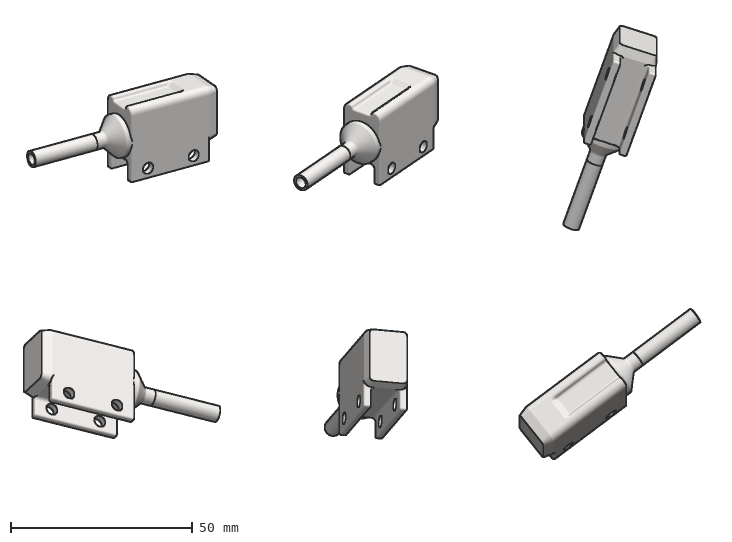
import cadquery as cq
import math


OVERALL_LENGTH = 57.2

WIDTH = 12.5
HEIGHT = 22.6
BLOCK_LENGTH = 25.75
TOP_RADIUS = 2.05
EDGE_RADIUS = 0.6

LEG_THICKNESS = 2.2
SLOT_WIDTH = WIDTH - 2 * LEG_THICKNESS
SLOT_HEIGHT = 5.85
SLOT_RADIUS = 1.05

NOSE_LENGTH = 2.85
NOSE_INSET = 0.85
NOSE_HEIGHT = HEIGHT - SLOT_HEIGHT
NOSE_TAPER = math.degrees(math.atan(NOSE_INSET / NOSE_LENGTH))

HOLE_DIAMETER = 3.3
HOLE_HEIGHT = 3.2
HOLE_POSITIONS = (5.55, 20.5)

RECESS_DEPTH = 1.2
RECESS_FLOOR_WIDTH = 5.85
RECESS_FLOOR_END = 17.55
RECESS_SIDE_ANGLE = 68.0
RECESS_END_ANGLE = 34.0
RECESS_BLEND_RADIUS = 0.85

BOOT_HEIGHT = 12.25
COLLAR_RADIUS = WIDTH / 2
COLLAR_LENGTH = 1.5
COLLAR_BLEND_RADIUS = 0.4
NECK_RADIUS = 2.35
NECK_START = 5.4
NECK_END = 8.45
NECK_BLEND_RADIUS = 0.6
WIRE_HOLE_DIAMETER = 2.6

CABLE_RADIUS = NECK_RADIUS
CABLE_BORE_DIAMETER = 3.25
CABLE_END = OVERALL_LENGTH - BLOCK_LENGTH - NOSE_LENGTH


def plane_at(y, z=0.0):
    """Plane across the part at the given Y; its normal points forward, +Y."""
    return cq.Plane(origin=(0, y, z), xDir=(-1, 0, 0), normal=(0, 1, 0))


def make_block():
    """Block with rounded top edges and a slot that leaves a leg on each side."""
    block = (
        cq.Workplane(plane_at(0, HEIGHT / 2))
        .rect(WIDTH, HEIGHT)
        .extrude(BLOCK_LENGTH)
        .edges("|Y and >Z")
        .fillet(TOP_RADIUS)
    )
    slot = (
        cq.Workplane(plane_at(0, SLOT_HEIGHT / 2))
        .rect(SLOT_WIDTH, SLOT_HEIGHT)
        .extrude(BLOCK_LENGTH)
        .edges("|Y and >Z")
        .fillet(SLOT_RADIUS)
    )
    return block.cut(slot)


def make_recess():
    """Volume of the top recess: steep sides and a gentle ramp at its front, blended into the floor."""
    floor_z = HEIGHT - RECESS_DEPTH
    floor_x = RECESS_FLOOR_WIDTH / 2
    top_x = floor_x + RECESS_DEPTH / math.tan(math.radians(RECESS_SIDE_ANGLE))
    top_end = RECESS_FLOOR_END + RECESS_DEPTH / math.tan(math.radians(RECESS_END_ANGLE))
    channel = (
        cq.Workplane(plane_at(0))
        .polyline([(-floor_x, floor_z), (floor_x, floor_z), (top_x, HEIGHT), (-top_x, HEIGHT)])
        .close()
        .extrude(top_end)
    )
    ramped_length = (
        cq.Workplane("YZ")
        .polyline([(0, floor_z), (RECESS_FLOOR_END, floor_z), (top_end, HEIGHT), (0, HEIGHT)])
        .close()
        .extrude(top_x, both=True)
    )
    recess = channel.intersect(ramped_length)
    return recess.edges("not(<Y or >Z)").fillet(RECESS_BLEND_RADIUS)


def cut_recess(block):
    """Cut the top recess and round its rim."""
    in_top_face = cq.selectors.BoxSelector(
        (-WIDTH / 2 + TOP_RADIUS, -EDGE_RADIUS, HEIGHT - EDGE_RADIUS),
        (WIDTH / 2 - TOP_RADIUS, BLOCK_LENGTH - EDGE_RADIUS, HEIGHT + EDGE_RADIUS),
    )
    rim = block.cut(make_recess()).faces(">Z").edges(in_top_face).edges("not(<Y)")
    return rim.fillet(RECESS_BLEND_RADIUS)


def make_nose():
    """Tapered front end; its straight root reaches back past the rounded front edges of the block."""
    outline = (
        cq.Sketch()
        .rect(WIDTH, NOSE_HEIGHT)
        .vertices()
        .fillet(TOP_RADIUS)
    )
    middle = SLOT_HEIGHT + NOSE_HEIGHT / 2
    base = cq.Workplane(plane_at(BLOCK_LENGTH, middle)).placeSketch(outline)
    root = base.extrude(-EDGE_RADIUS)
    tip = base.extrude(NOSE_LENGTH, taper=NOSE_TAPER)
    return root.union(tip)


def edges_near(y):
    """Selector for edges whose centre lies within one edge radius of the given Y."""
    return cq.selectors.BoxSelector((-WIDTH, y - EDGE_RADIUS, 0), (WIDTH, y + EDGE_RADIUS, HEIGHT))


def make_boot():
    """Collar, cone and neck as one turned shape, rooted inside the back edge rounding of the block."""
    profile = [
        (EDGE_RADIUS, 0),
        (EDGE_RADIUS, COLLAR_RADIUS),
        (-COLLAR_LENGTH, COLLAR_RADIUS),
        (-NECK_START, NECK_RADIUS),
        (-NECK_END, NECK_RADIUS),
        (-NECK_END, 0),
    ]
    boot = (
        cq.Workplane("YZ")
        .polyline(profile)
        .close()
        .revolve(360, (0, 0), (1, 0))
        .translate((0, 0, BOOT_HEIGHT))
    )
    boot = boot.edges(edges_near(-COLLAR_LENGTH)).edges("%CIRCLE").fillet(COLLAR_BLEND_RADIUS)
    return boot.edges(edges_near(-NECK_START)).edges("%CIRCLE").fillet(NECK_BLEND_RADIUS)


def make_housing():
    """Block, nose and boot as one solid, with the mounting holes and the wire hole."""
    block = cut_recess(make_block())
    block = block.faces("<Y or >Y or <Z").edges().fillet(EDGE_RADIUS)
    housing = block.union(make_nose()).union(make_boot())
    mounting_holes = (
        cq.Workplane("YZ")
        .pushPoints([(y, HOLE_HEIGHT) for y in HOLE_POSITIONS])
        .circle(HOLE_DIAMETER / 2)
        .extrude(WIDTH, both=True)
    )
    wire_hole = cq.Workplane(plane_at(-NECK_END, BOOT_HEIGHT)).circle(WIRE_HOLE_DIAMETER / 2).extrude(NECK_END)
    return housing.cut(mounting_holes).cut(wire_hole)


def make_cable():
    """Tubular cable sleeve that starts at the end face of the neck."""
    return (
        cq.Workplane(plane_at(-CABLE_END, BOOT_HEIGHT))
        .circle(CABLE_RADIUS)
        .circle(CABLE_BORE_DIAMETER / 2)
        .extrude(CABLE_END - NECK_END)
    )


housing = make_housing()
cable = make_cable()

result = cq.Compound.makeCompound([housing.val(), cable.val()])